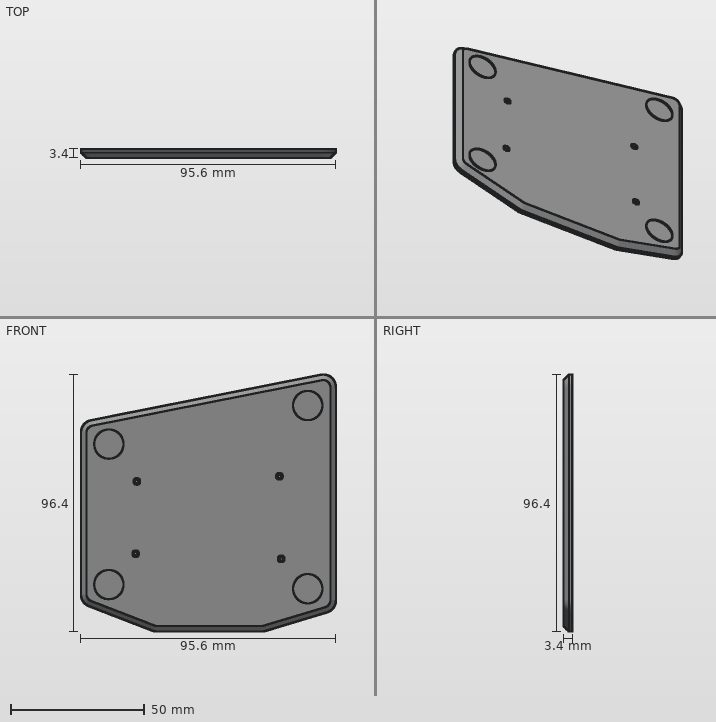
import cadquery as cq
import math

width = 95.6
height = 96.4
thickness = 3.4
corner_radius = 4.8
edge_chamfer = 2.1

bottom_left_x = -20.15
bottom_right_x = 20.6
lower_left_rise = 10.7
lower_right_rise = 8.2
top_slope = 0.198

foot_diameter = 11.0
foot_depth = 0.4
foot_centers = [(-37.3, 22.1), (37.2, 36.5), (-37.3, -30.6), (37.2, -32.1)]

screw_diameter = 1.3
screw_head_diameter = 2.5
screw_head_depth = 1.3
screw_centers = [(-26.8, 8.1), (26.6, 10.0), (-27.3, -19.0), (27.3, -20.9)]

half_width = width / 2
bottom = -height / 2
front_y = -thickness / 2

crest_center_z = height / 2 - corner_radius
top_right_z = (
    crest_center_z
    + corner_radius * math.hypot(1, top_slope)
    + corner_radius * top_slope
)
top_left_z = top_right_z - width * top_slope


def make_plate():
    """Six-sided plate with rounded corners and a chamfered front rim."""
    outline = [
        (-half_width, bottom + lower_left_rise),
        (bottom_left_x, bottom),
        (bottom_right_x, bottom),
        (half_width, bottom + lower_right_rise),
        (half_width, top_right_z),
        (-half_width, top_left_z),
    ]
    plate = (
        cq.Workplane("XZ", origin=(0, front_y, 0))
        .polyline(outline)
        .close()
        .extrude(-thickness)
    )
    return plate.edges("|Y").fillet(corner_radius).faces("<Y").chamfer(edge_chamfer)


def front_pockets(centers, diameter, depth):
    """Round cutters reaching from the front face to the given depth."""
    return (
        cq.Workplane("XZ", origin=(0, front_y, 0))
        .pushPoints(centers)
        .circle(diameter / 2)
        .extrude(-depth)
    )


result = (
    make_plate()
    .cut(front_pockets(foot_centers, foot_diameter, foot_depth))
    .cut(front_pockets(screw_centers, screw_head_diameter, screw_head_depth))
    .cut(front_pockets(screw_centers, screw_diameter, thickness))
)